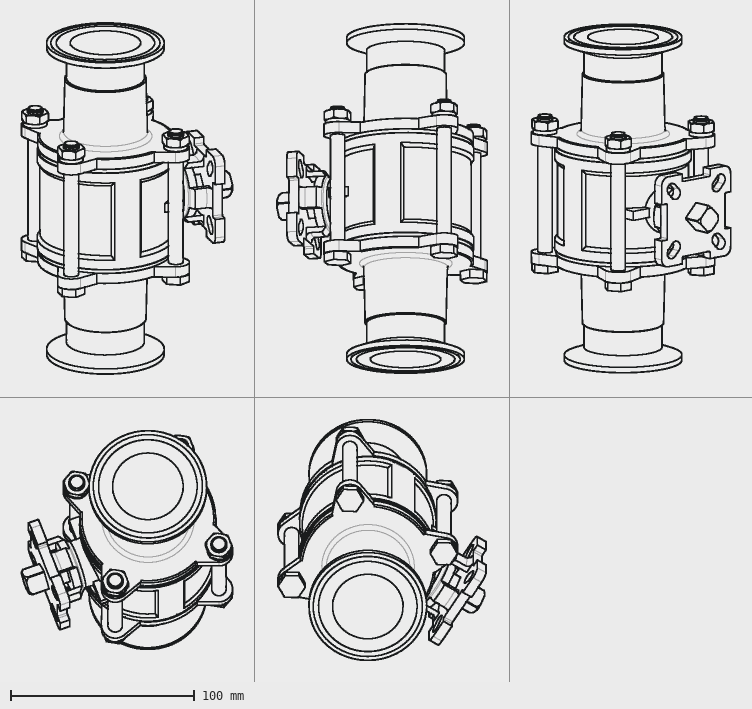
import cadquery as cq
import math


half_length = 90.0
bore_radius = 38.3 / 2
ferrule_radius = 32.0
ferrule_rim = 3.0
ferrule_height = 7.2
pipe_radius = 21.2
groove_mid_radius = 28.3
groove_radius = 1.5
sleeve_top = 69.3
sleeve_top_radius = 22.1
sleeve_bottom = 38.5
sleeve_bottom_radius = 22.9
sleeve_step = 0.5
flare_radius = 25.2

flange_outer = 36.2
flange_inner = 30.0
flange_radius = 36.9
flange_edge_radial = 1.0
flange_edge_axial = 0.4
bolt_offset = 30.0
ear_radius = 15.0 / 2
ear_side_angle = 20.5
ear_root_angle = 26.0

body_radius = 74.3 / 2
body_neck_radius = 36.5
body_shoulder = 27.9
waist_radius = 35.6
waist_top = 20.2
waist_slope = 2.2
band_half_width = 7.4
band_foot_half_width = 8.6
stop_half_width = 24.8
stop_height = 5.0
stop_top = 36.5

bolt_radius = 4.0
bolt_top = 45.7
bolt_tip_height = 1.3
bolt_tip_radius = 3.6
thread_radius = 4.3
hex_flats = 13.0
hex_corners = hex_flats / math.cos(math.radians(30))
washer_height = 2.2
hex_bevel_height = 0.5
hex_bevel_depth = 0.7
nut_top = 43.4
head_height = 4.7

boss_radius = 13.3
boss_top = 47.9
skirt_bottom = 40.9
skirt_top = 43.4
skirt_lip_height = 0.7
ring_radius = 30.5 / 2
leg_outer_radius = 18.0
leg_half_width = 5.8
leg_kink = 45.5
leg_fillet = 2.5
plate_bottom = 54.5
plate_thickness = 5.5
plate_half = 25.0
plate_corner_radius = 4.5
notch_floor = 20.9
notch_half_width = 10.0
notch_fillet = 0.9
slot_radius = 3.2
slot_inner_circle = 21.0
slot_outer_circle = 25.0

overall_depth = 108.5
stem_end = overall_depth - bolt_offset - ear_radius
stem_flats = 11.2
stem_radius = 15.3 / 2
stem_tip_radius = 6.3
stem_tip_height = 1.5


def pipe_end():
    """Upper ferrule, pipe and sleeve down to the flange, revolved about Z."""
    flare_height = sleeve_bottom - flange_outer
    flare_bulge = 1 - math.sqrt(0.5)
    flare_mid = (
        sleeve_bottom_radius + flare_bulge * (flare_radius - sleeve_bottom_radius),
        flange_outer + flare_bulge * flare_height,
    )
    profile = (
        cq.Workplane("XZ")
        .moveTo(0, flange_inner)
        .lineTo(flare_radius, flange_inner)
        .lineTo(flare_radius, flange_outer)
        .threePointArc(flare_mid, (sleeve_bottom_radius, sleeve_bottom))
        .lineTo(sleeve_top_radius, sleeve_top)
        .lineTo(pipe_radius, sleeve_top + sleeve_step)
        .lineTo(pipe_radius, half_length - ferrule_height)
        .lineTo(ferrule_radius, half_length - ferrule_rim)
        .lineTo(ferrule_radius, half_length)
        .lineTo(0, half_length)
        .close()
    )
    groove = (
        cq.Workplane("XZ")
        .center(groove_mid_radius, half_length)
        .circle(groove_radius)
        .revolve(360, (-groove_mid_radius, 0), (-groove_mid_radius, 1))
    )
    return profile.revolve(360, (0, 0), (0, 1)).cut(groove)


def flange_ear(quarter_turn):
    """Pointed ear with a round tip, on the diagonal of one quadrant."""
    angle = math.radians(ear_side_angle)
    tip_x = bolt_offset - ear_radius * math.sin(angle)
    tip_y = bolt_offset + ear_radius * math.cos(angle)
    root_x = flange_radius * math.sin(math.radians(ear_root_angle))
    root_y = tip_y - (tip_x - root_x) * math.tan(angle)
    tip = bolt_offset + ear_radius * math.sqrt(0.5)
    ear = (
        cq.Workplane("XY", origin=(0, 0, flange_inner))
        .moveTo(0, 0)
        .lineTo(root_x, root_y)
        .lineTo(tip_x, tip_y)
        .threePointArc((tip, tip), (tip_y, tip_x))
        .lineTo(root_y, root_x)
        .close()
        .extrude(flange_outer - flange_inner)
    )
    return ear.rotate((0, 0, 0), (0, 0, 1), 90 * quarter_turn)


def flange():
    """Upper flange: a disc with a bevelled rim and four bolt ears."""
    disc = (
        cq.Workplane("XZ")
        .moveTo(0, flange_inner)
        .lineTo(flange_radius, flange_inner)
        .lineTo(flange_radius, flange_outer - flange_edge_axial)
        .lineTo(flange_radius - flange_edge_radial, flange_outer)
        .lineTo(0, flange_outer)
        .close()
        .revolve(360, (0, 0), (0, 1))
    )
    for quarter_turn in range(4):
        disc = disc.union(flange_ear(quarter_turn))
    return disc


def body():
    """Waisted barrel with a raised band on each side and a stop bar behind the stem."""
    shoulder_bottom = waist_top + waist_slope
    upper = [
        (waist_radius, waist_top),
        (body_radius, shoulder_bottom),
        (body_radius, body_shoulder),
        (body_neck_radius, body_shoulder),
        (body_neck_radius, flange_inner),
    ]
    lower = [(r, -z) for r, z in reversed(upper)]
    outline = [(0, -flange_inner)] + lower + upper + [(0, flange_inner)]
    barrel = cq.Workplane("XZ").polyline(outline).close().revolve(360, (0, 0), (0, 1))

    brow_x = math.sqrt(body_radius**2 - band_half_width**2)
    foot_x = math.sqrt(waist_radius**2 - band_foot_half_width**2)
    quarter = [(foot_x, band_foot_half_width), (brow_x, band_half_width), (body_radius, band_half_width)]
    right_side = [(x, -y) for x, y in quarter] + quarter[::-1]
    left_side = [(-x, -y) for x, y in right_side]
    band = (
        cq.Workplane("XY", origin=(0, 0, -shoulder_bottom))
        .polyline(right_side + left_side)
        .close()
        .extrude(2 * shoulder_bottom)
    )
    limit = (
        cq.Workplane("XY", origin=(0, 0, -shoulder_bottom))
        .circle(body_radius)
        .extrude(2 * shoulder_bottom)
    )
    stop_bar = cq.Workplane("XY").box(
        2 * stop_half_width, stop_top, stop_height, centered=(True, False, True)
    )
    return barrel.union(band.intersect(limit)).union(stop_bar)


def chamfered_hex(bottom, height):
    """Hexagon with its corners along X, bevelled at both ends."""
    prism = cq.Workplane("XY", origin=(0, 0, bottom)).polygon(6, hex_corners).extrude(height)
    bevel = cq.Workplane("XY", origin=(0, 0, bottom)).circle(hex_corners / 2).extrude(height)
    return prism.intersect(bevel.faces("<Z or >Z").chamfer(hex_bevel_height, hex_bevel_depth))


def tie_bolt():
    """Bolt on the Z axis with its head below and a washer and nut above."""
    shank = (
        cq.Workplane("XZ")
        .moveTo(0, -flange_outer)
        .lineTo(bolt_radius, -flange_outer)
        .lineTo(bolt_radius, flange_outer)
        .lineTo(thread_radius, flange_outer)
        .lineTo(thread_radius, bolt_top - bolt_tip_height)
        .lineTo(bolt_tip_radius, bolt_top - bolt_tip_height / 2)
        .lineTo(bolt_tip_radius, bolt_top)
        .lineTo(0, bolt_top)
        .close()
        .revolve(360, (0, 0), (0, 1))
    )
    washer = cq.Workplane("XY", origin=(0, 0, flange_outer)).circle(hex_flats / 2).extrude(washer_height)
    nut_bottom = flange_outer + washer_height
    nut = chamfered_hex(nut_bottom, nut_top - nut_bottom)
    head_bottom = -flange_outer - head_height
    head = cq.Workplane("XY", origin=(0, 0, head_bottom)).polygon(6, hex_corners).extrude(head_height)
    return shank.union(washer).union(nut).union(head)


def about_stem(points):
    """Turn a closed (radius, Y) outline about the Y axis."""
    return cq.Workplane("XY").polyline(points).close().revolve(360, (0, 0), (0, 1))


def stem_boss():
    """Round boss on the body, flaring to the ring that carries the legs."""
    return about_stem([
        (0, bore_radius),
        (boss_radius, bore_radius),
        (boss_radius, skirt_bottom),
        (ring_radius - skirt_lip_height, skirt_top - skirt_lip_height),
        (ring_radius, skirt_top),
        (ring_radius, boss_top),
        (0, boss_top),
    ])


def mount_legs():
    """Four legs from the ring to the plate, cut from one turned shell."""
    fillet_start = plate_bottom - leg_fillet
    fillet_bulge = leg_fillet * (1 - math.sqrt(0.5))
    shell = (
        cq.Workplane("XY")
        .moveTo(ring_radius, skirt_top)
        .lineTo(leg_outer_radius, leg_kink)
        .lineTo(leg_outer_radius, fillet_start)
        .threePointArc(
            (leg_outer_radius + fillet_bulge, plate_bottom - fillet_bulge),
            (leg_outer_radius + leg_fillet, plate_bottom),
        )
        .lineTo(ring_radius, plate_bottom)
        .close()
        .revolve(360, (0, 0), (0, 1))
    )
    width = 2 * leg_half_width
    span = 2 * plate_half
    height = plate_bottom - skirt_top
    centre = cq.Workplane("XY", origin=(0, skirt_top + height / 2, 0))
    cross = centre.box(span, height, width).union(centre.box(width, height, span))
    return shell.intersect(cross)


def mount_plate():
    """Square plate with a notch in each side and a diagonal slot in each corner."""
    base = cq.Workplane("XZ", origin=(0, plate_bottom, 0))
    plate = base.rect(2 * plate_half, 2 * plate_half).extrude(-plate_thickness)
    plate = plate.edges("|Y").fillet(plate_corner_radius)
    notch = (
        base.center(plate_half, 0)
        .rect(2 * (plate_half - notch_floor), 2 * notch_half_width)
        .extrude(-plate_thickness)
        .edges("|Y and <X")
        .fillet(notch_fillet)
    )
    slot_length = slot_outer_circle - slot_inner_circle + 2 * slot_radius
    slot = (
        base.center((slot_inner_circle + slot_outer_circle) / 2, 0)
        .slot2D(slot_length, 2 * slot_radius)
        .extrude(-plate_thickness)
        .rotate((0, 0, 0), (0, 1, 0), 45)
    )
    for quarter_turn in range(4):
        angle = 90 * quarter_turn
        plate = plate.cut(notch.rotate((0, 0, 0), (0, 1, 0), angle))
        plate = plate.cut(slot.rotate((0, 0, 0), (0, 1, 0), angle))
    return plate


def stem():
    """Square drive turned 45 degrees, with its corners and end trimmed round."""
    length = stem_end - skirt_top
    square = (
        cq.Workplane("XZ", origin=(0, skirt_top, 0))
        .rect(stem_flats, stem_flats)
        .extrude(-length)
        .rotate((0, 0, 0), (0, 1, 0), 45)
    )
    trim = about_stem([
        (0, skirt_top),
        (stem_radius, skirt_top),
        (stem_radius, stem_end - stem_tip_height),
        (stem_tip_radius, stem_end),
        (0, stem_end),
    ])
    return square.intersect(trim)


upper_end = pipe_end().union(flange())
result = body().union(upper_end).union(upper_end.mirror("XY"))

for x_side in (-1, 1):
    for y_side in (-1, 1):
        result = result.union(tie_bolt().translate((x_side * bolt_offset, y_side * bolt_offset, 0)))

for piece in (stem_boss(), mount_legs(), mount_plate(), stem()):
    result = result.union(piece)

pipe_bore = cq.Workplane("XY", origin=(0, 0, -half_length)).circle(bore_radius).extrude(2 * half_length)
result = result.cut(pipe_bore)